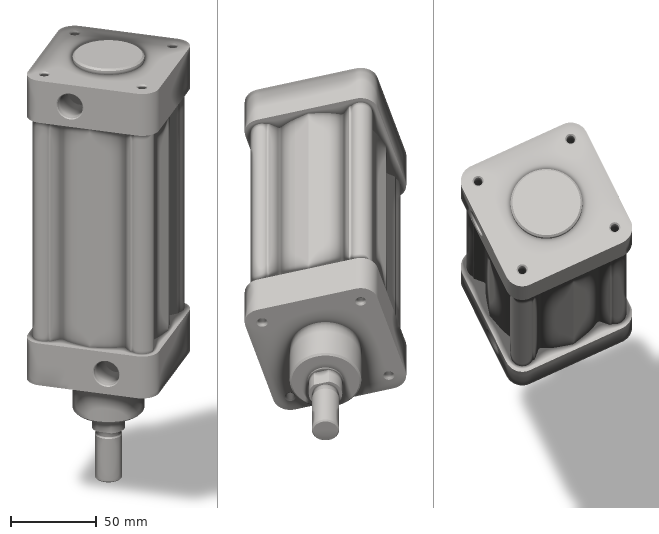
import cadquery as cq
import math


TOTAL_LENGTH = 271.0
CAP_WIDTH = 80.0
CAP_HEIGHT = 26.8
TUBE_LENGTH = 141.5

BOSS_RADIUS = 21.0
BOSS_CHAMFER = 1.0
REAR_BOSS_HEIGHT = 3.5
NOSE_LENGTH = 28.5
COLLAR_RADIUS = 10.5
COLLAR_LENGTH = 0.8

BOLT_OFFSET = 29.8
CORNER_RADIUS = CAP_WIDTH / 2 - BOLT_OFFSET
BOLT_HOLE_DIAMETER = 6.5
BOLT_HOLE_CHAMFER = 0.8
BOLT_HOLE_DEPTH = 16.3

PORT_DIAMETER = 16.5
PORT_CHAMFER = 0.5
PORT_DEPTH = 20.0
PORT_OFFSET = 11.0
PORT_DROP = 13.8

COLUMN_RADIUS = 6.8
COLUMN_SWEEP = 82.0
NECK_WIDTH = 15.5
NECK_FILLET = 2.0
BARREL_RADIUS = 35.5
RIDGE_RADIUS = BOLT_OFFSET + COLUMN_RADIUS

ROD_RADIUS = 9.8
ROD_FLATS_WIDTH = 17.3
RELIEF_RADIUS = 7.3
RELIEF_LENGTH = 3.5
THREAD_DIAMETER = 16.0
THREAD_LENGTH = 29.0
THREAD_CHAMFER = 0.8

REAR_CAP_TOP = TOTAL_LENGTH - REAR_BOSS_HEIGHT
TUBE_TOP = REAR_CAP_TOP - CAP_HEIGHT
TUBE_BOTTOM = TUBE_TOP - TUBE_LENGTH
FRONT_CAP_BOTTOM = TUBE_BOTTOM - CAP_HEIGHT
NOSE_BOTTOM = FRONT_CAP_BOTTOM - NOSE_LENGTH
COLLAR_BOTTOM = NOSE_BOTTOM - COLLAR_LENGTH
RELIEF_TOP = THREAD_LENGTH + RELIEF_LENGTH


def cylinder(radius, bottom, top):
    return cq.Workplane("XY").workplane(offset=bottom).circle(radius).extrude(top - bottom)


def cap_block(bottom):
    """Square cap with rounded vertical corners."""
    block = cq.Workplane("XY").workplane(offset=bottom).rect(CAP_WIDTH, CAP_WIDTH).extrude(CAP_HEIGHT)
    return block.edges("|Z").fillet(CORNER_RADIUS)


def blind_hole(diameter, mouth_chamfer, depth):
    """Cutter for a blind hole with a chamfered mouth at the origin, running along +Y."""
    radius = diameter / 2
    inner_radius = radius - mouth_chamfer
    profile = [(0, 0), (radius, 0), (inner_radius, mouth_chamfer), (inner_radius, depth), (0, depth)]
    return cq.Workplane("XY").polyline(profile).close().revolve(360, (0, 0), (0, 1))


def cut_bolt_holes(cap, face_level, turn):
    """Cut the four corner holes; a turn of -90 about X drills down, +90 drills up."""
    hole = blind_hole(BOLT_HOLE_DIAMETER, BOLT_HOLE_CHAMFER, BOLT_HOLE_DEPTH)
    hole = hole.rotate((0, 0, 0), (1, 0, 0), turn)
    for x in (-BOLT_OFFSET, BOLT_OFFSET):
        for y in (-BOLT_OFFSET, BOLT_OFFSET):
            cap = cap.cut(hole.translate((x, y, face_level)))
    return cap


def port(x, z):
    """Cutter for an air port in the -Y face."""
    return blind_hole(PORT_DIAMETER, PORT_CHAMFER, PORT_DEPTH).translate((x, -CAP_WIDTH / 2, z))


def make_rear_cap():
    boss = cylinder(BOSS_RADIUS, REAR_CAP_TOP, TOTAL_LENGTH).faces(">Z").chamfer(BOSS_CHAMFER)
    cap = cap_block(TUBE_TOP).union(boss)
    cap = cut_bolt_holes(cap, REAR_CAP_TOP, -90)
    return cap.cut(port(-PORT_OFFSET, REAR_CAP_TOP - PORT_DROP))


def make_front_cap():
    nose = cylinder(BOSS_RADIUS, NOSE_BOTTOM, FRONT_CAP_BOTTOM).faces("<Z").chamfer(BOSS_CHAMFER)
    collar = cylinder(COLLAR_RADIUS, COLLAR_BOTTOM, NOSE_BOTTOM)
    cap = cap_block(FRONT_CAP_BOTTOM).union(nose).union(collar)
    cap = cut_bolt_holes(cap, FRONT_CAP_BOTTOM, 90)
    return cap.cut(port(PORT_OFFSET, TUBE_BOTTOM - PORT_DROP))


def polar(radius, degrees):
    angle = math.radians(degrees)
    return (radius * math.cos(angle), radius * math.sin(angle))


def make_tube():
    """Extruded barrel, its outline made of four equal quarters, one around each column."""
    ridge_angle = 45.0
    flat_angle = math.degrees(math.acos(BARREL_RADIUS / RIDGE_RADIUS))
    flat_end_angle = ridge_angle - flat_angle

    neck_v = NECK_WIDTH / 2
    fillet_v = neck_v + NECK_FILLET
    fillet_u = math.sqrt((BARREL_RADIUS + NECK_FILLET) ** 2 - fillet_v ** 2)
    neck_angle = math.degrees(math.atan2(fillet_v, fillet_u))
    fillet_mid_angle = (180 + neck_angle + 270) / 2
    fillet_mid_offset = polar(NECK_FILLET, fillet_mid_angle)
    fillet_mid = (fillet_u + fillet_mid_offset[0], fillet_v + fillet_mid_offset[1])

    column_u = BOLT_OFFSET * math.sqrt(2)
    column_end_offset = polar(COLUMN_RADIUS, COLUMN_SWEEP)
    column_end = (column_u + column_end_offset[0], column_end_offset[1])
    lip = (column_end[0] - (neck_v - column_end[1]), neck_v)

    ridge = polar(RIDGE_RADIUS, ridge_angle)
    flat_end = polar(BARREL_RADIUS, flat_end_angle)
    barrel_mid = polar(BARREL_RADIUS, (flat_end_angle + neck_angle) / 2)
    barrel_end = polar(BARREL_RADIUS, neck_angle)
    neck_start = (fillet_u, neck_v)
    column_tip = (column_u + COLUMN_RADIUS, 0)

    def across(point):
        return (point[0], -point[1])

    outline = cq.Workplane("XY").workplane(offset=TUBE_BOTTOM).moveTo(RIDGE_RADIUS, 0)
    for diagonal_angle in (45, 135, 225, 315):
        def place(point, turn=diagonal_angle):
            return polar(math.hypot(*point), math.degrees(math.atan2(point[1], point[0])) + turn)

        outline = (
            outline
            .lineTo(*place(across(flat_end)))
            .threePointArc(place(across(barrel_mid)), place(across(barrel_end)))
            .threePointArc(place(across(fillet_mid)), place(across(neck_start)))
            .lineTo(*place(across(lip)))
            .lineTo(*place(across(column_end)))
            .threePointArc(place(column_tip), place(column_end))
            .lineTo(*place(lip))
            .lineTo(*place(neck_start))
            .threePointArc(place(fillet_mid), place(barrel_end))
            .threePointArc(place(barrel_mid), place(flat_end))
            .lineTo(*place(ridge))
        )
    return outline.close().extrude(TUBE_LENGTH)


def make_rod():
    """Rod end with two wrench flats, a thread relief and a plain threaded stud."""
    shank = cylinder(ROD_RADIUS, RELIEF_TOP, COLLAR_BOTTOM)
    flats = cq.Workplane("XY").rect(2 * ROD_RADIUS, ROD_FLATS_WIDTH).extrude(COLLAR_BOTTOM)
    relief = cylinder(RELIEF_RADIUS, THREAD_LENGTH, RELIEF_TOP)
    stud = cylinder(THREAD_DIAMETER / 2, 0, THREAD_LENGTH).faces("<Z or >Z").chamfer(THREAD_CHAMFER)
    return shank.intersect(flats).union(relief).union(stud)


rear_cap = make_rear_cap()
front_cap = make_front_cap()
tube = make_tube()
rod = make_rod()

result = cq.Compound.makeCompound([rear_cap.val(), front_cap.val(), tube.val(), rod.val()])